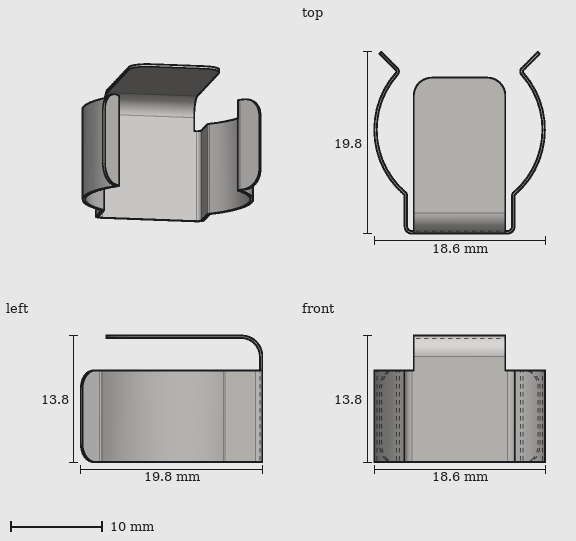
import cadquery as cq
import math

thickness = 0.3
length = 19.79
band_height = 10.0
total_height = 13.8

half_base = 6.0
corner_radius = 0.8

arm_radius = 9.3
arm_center_y = 11.32
fold_radius = 0.2
throat_fold_x = 7.08

lip_angle = math.radians(45)
lip_corner_radius = 2.0

tab_width = 10.0
tab_end_y = 17.0
tab_bend_radius = 2.3
tab_corner_radius = 2.0


def shift(point, direction, distance):
    return (point[0] + direction[0] * distance, point[1] + direction[1] * distance)


def polar(angle):
    return (math.cos(angle), math.sin(angle))


def arc_middle(center, radius, start_angle, end_angle):
    return shift(center, polar((start_angle + end_angle) / 2), radius)


arm_center = (0, arm_center_y)
fold_axis_radius = arm_radius + fold_radius
foot_angle = -math.acos((half_base + fold_radius) / fold_axis_radius)
throat_angle = math.acos(throat_fold_x / fold_axis_radius)
foot_axis = shift(arm_center, polar(foot_angle), fold_axis_radius)
throat_axis = shift(arm_center, polar(throat_angle), fold_axis_radius)
lip_direction = polar(lip_angle)
lip_normal_angle = lip_angle + math.pi / 2
lip_normal = polar(lip_normal_angle)
lip_start = shift(throat_axis, lip_normal, fold_radius)
lip_length = (length - lip_start[1] - thickness * lip_normal[1]) / lip_direction[1]
lip_tip = shift(lip_start, lip_direction, lip_length)


def half_band():
    """Right half of the clip band: back wall, side wall, arm and lip."""
    fold_outer_radius = fold_radius + thickness
    inner_radius = arm_radius - thickness
    corner_center = (half_base - corner_radius, corner_radius)
    corner_inner_radius = corner_radius - thickness
    corner_angles = (-math.pi / 2, 0)
    throat_fold_angles = (lip_normal_angle, throat_angle + math.pi)
    foot_fold_angles = (foot_angle + math.pi, math.pi)
    return (
        cq.Workplane("XY")
        .lineTo(corner_center[0], 0)
        .threePointArc(arc_middle(corner_center, corner_radius, *corner_angles), (half_base, corner_radius))
        .lineTo(half_base, foot_axis[1])
        .threePointArc(
            arc_middle(foot_axis, fold_radius, *foot_fold_angles),
            shift(arm_center, polar(foot_angle), arm_radius),
        )
        .threePointArc(
            arc_middle(arm_center, arm_radius, foot_angle, throat_angle),
            shift(arm_center, polar(throat_angle), arm_radius),
        )
        .threePointArc(arc_middle(throat_axis, fold_radius, *throat_fold_angles), lip_start)
        .lineTo(*lip_tip)
        .lineTo(*shift(lip_tip, lip_normal, thickness))
        .lineTo(*shift(lip_start, lip_normal, thickness))
        .threePointArc(
            arc_middle(throat_axis, fold_outer_radius, *throat_fold_angles),
            shift(arm_center, polar(throat_angle), inner_radius),
        )
        .threePointArc(
            arc_middle(arm_center, inner_radius, throat_angle, foot_angle),
            shift(arm_center, polar(foot_angle), inner_radius),
        )
        .threePointArc(
            arc_middle(foot_axis, fold_outer_radius, *foot_fold_angles),
            (half_base - thickness, foot_axis[1]),
        )
        .lineTo(half_base - thickness, corner_radius)
        .threePointArc(
            arc_middle(corner_center, corner_inner_radius, *corner_angles),
            (corner_center[0], thickness),
        )
        .lineTo(0, thickness)
        .close()
        .extrude(band_height)
        .edges(cq.selectors.BoxSelector(
            (lip_tip[0] - 2 * thickness, lip_tip[1] - thickness, -thickness),
            (lip_tip[0] + thickness, length + thickness, band_height + thickness),
        ))
        .edges("#Z")
        .fillet(lip_corner_radius)
    )


def top_tab():
    """Strip rising from the back wall and folding forward over the band."""
    outer = (
        cq.Workplane("YZ")
        .rect(tab_end_y, total_height, centered=False)
        .extrude(tab_width / 2, both=True)
        .edges("<Y and >Z")
        .fillet(tab_bend_radius)
    )
    inner = (
        cq.Workplane("YZ", origin=(0, thickness, -thickness))
        .rect(tab_end_y, total_height, centered=False)
        .extrude(tab_width / 2, both=True)
        .edges("<Y and >Z")
        .fillet(tab_bend_radius - thickness)
    )
    return outer.cut(inner).edges("|Z and >Y").fillet(tab_corner_radius)


right_half = half_band()
left_half = right_half.mirror("YZ")
result = right_half.union(left_half).union(top_tab()).clean()